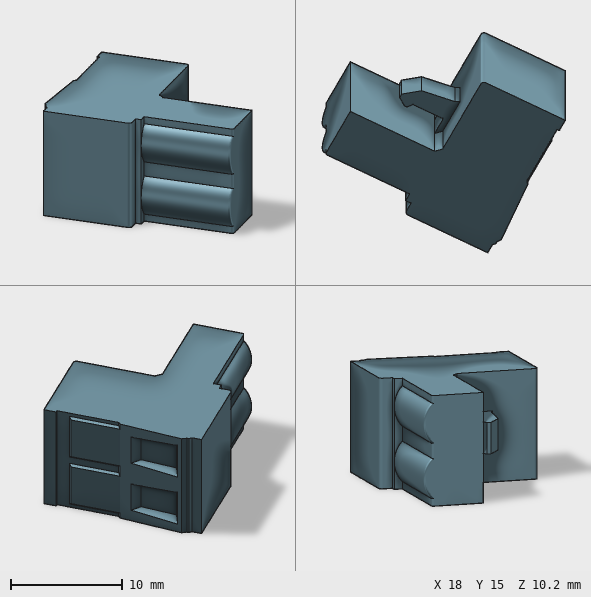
import cadquery as cq

height = 10.15
pole_count = 2
pole_pitch = height / pole_count
pole_centres = [pole_pitch * (i + 0.5) for i in range(pole_count)]

housing_depth = 15.0
housing_left = 0.47
housing_right = 8.9
corner_radius = 0.32
lip_start = 13.82
recess_depth = 0.22
recess_floor = housing_left + recess_depth
ramp_top = 7.74
ramp_bottom = 1.75
groove_x = 0.25
groove_top = 1.33
groove_bottom = 1.13
nose_bottom = 0.92

plug_start = 9.43
plug_end = 18.0
plug_top = 6.79
plug_bottom = 1.95
step_bottom = 1.19
root_chamfer = plug_start - housing_right
end_radius = 0.2

rib_width = 3.7

pad_top = 12.64
pad_bottom = ramp_top
pad_width = 4.4
pad_edge_angle = 45

mouth_upper, mouth_upper_half = 6.68, 1.4
mouth_lower, mouth_lower_half = 2.12, 1.71
floor_upper, floor_upper_half = 5.92, 1.22
floor_lower, floor_lower_half = 2.55, 1.39
funnel_floor = 0.97

latch_height = 2.88
latch_underside = 8.45
latch_tip = 13.9
latch_root_top = 10.7
arm_start = (9.27, 10.45)
arm_end = (12.45, 10.03)
tip_lower = 8.51
tip_upper = 8.9
hook_bottom = 7.97
hook_bottom_start = 12.87
hook_bottom_end = 13.14
hook_start = 12.51


def ramp_x(y):
    """X of the sloped left face at the given Y."""
    return housing_left * (y - ramp_bottom) / (ramp_top - ramp_bottom)


def make_housing():
    """Housing and plug as one outline extruded along Z, with rounded corners."""
    outline = [
        (housing_left, 0),
        (housing_right, 0),
        (housing_right, step_bottom),
        (plug_start, step_bottom),
        (plug_start, plug_bottom),
        (plug_end, plug_bottom),
        (plug_end, plug_top),
        (plug_start, plug_top),
        (housing_right, plug_top + root_chamfer),
        (housing_right, housing_depth),
        (housing_left, housing_depth),
        (housing_left, lip_start),
        (recess_floor, lip_start),
        (recess_floor, ramp_top + recess_depth),
        (housing_left, ramp_top),
        (0, ramp_bottom),
        (groove_x, groove_top),
        (groove_x, groove_bottom),
        (housing_left, nose_bottom),
    ]
    housing = cq.Workplane("XY").polyline(outline).close().extrude(height)
    for corner_y in (0, housing_depth):
        corner = cq.selectors.NearestToPointSelector((housing_right, corner_y, height / 2))
        housing = housing.edges(corner).fillet(corner_radius)
    plug_edge = cq.selectors.NearestToPointSelector((plug_end, plug_bottom, height / 2))
    return housing.edges(plug_edge).fillet(end_radius)


def make_latch():
    """Hooked latch arm standing on the right face above the plug."""
    outline = [
        (housing_right, plug_top),
        (plug_start, plug_top),
        (plug_start, latch_underside),
        (hook_start, latch_underside),
        (hook_bottom_start, hook_bottom),
        (hook_bottom_end, hook_bottom),
        (latch_tip, tip_lower),
        (latch_tip, tip_upper),
        arm_end,
        arm_start,
        (housing_right, latch_root_top),
    ]
    base = (height - latch_height) / 2
    return cq.Workplane("XY", origin=(0, 0, base)).polyline(outline).close().extrude(latch_height)


def make_rib(centre_z):
    """Circular-segment rib along the plug, rounded at the free end."""
    half_width = rib_width / 2
    rib = (
        cq.Workplane("YZ", origin=(plug_start, 0, centre_z))
        .moveTo(plug_top, -half_width)
        .lineTo(plug_bottom, -half_width)
        .threePointArc((step_bottom, 0), (plug_bottom, half_width))
        .lineTo(plug_top, half_width)
        .close()
        .extrude(plug_end - plug_start)
    )
    return rib.faces(">X").edges("%CIRCLE").fillet(end_radius)


def make_pad(centre_z):
    """Raised pad with sloped edges that runs into the top of the ramp."""
    foot_bottom = pad_bottom - recess_depth
    return (
        cq.Workplane("YZ", origin=(recess_floor, (pad_top + foot_bottom) / 2, centre_z))
        .rect(pad_top - foot_bottom, pad_width)
        .extrude(-recess_depth, taper=pad_edge_angle)
    )


def trapezoid(lower, upper, centre_z):
    """Closed wire through two edges parallel to Z, each given as (X, Y, half width)."""
    corners = []
    for (x, y, half_width), side in ((lower, -1), (lower, 1), (upper, 1), (upper, -1)):
        corners.append(cq.Vector(x, y, centre_z + side * half_width))
    return cq.Wire.makePolygon(corners, close=True)


def make_funnel(centre_z):
    """Tapered wire opening from the ramp surface down to a flat floor."""
    mouth = trapezoid(
        (ramp_x(mouth_lower), mouth_lower, mouth_lower_half),
        (ramp_x(mouth_upper), mouth_upper, mouth_upper_half),
        centre_z,
    )
    floor = trapezoid(
        (funnel_floor, floor_lower, floor_lower_half),
        (funnel_floor, floor_upper, floor_upper_half),
        centre_z,
    )
    return cq.Workplane(cq.Solid.makeLoft([mouth, floor], True))


result = make_housing().union(make_latch())
for pole_z in pole_centres:
    result = result.union(make_rib(pole_z))
    result = result.union(make_pad(pole_z))
    result = result.cut(make_funnel(pole_z))